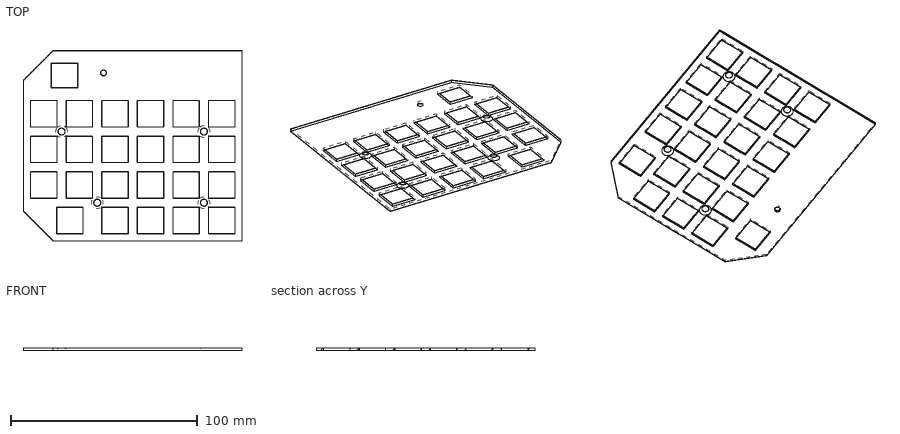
import cadquery as cq

plate_length = 117.25
plate_width = 102.0
plate_thickness = 1.5
corner_cut = 16.0

key_pitch = 19.05
key_opening = 14.0
columns = 6
rows = 4
bottom_row = 0
key_edge_margin = 11.0
wide_key_center_x = 24.98
columns_under_wide_key = 2

encoder_length = 14.0
encoder_width = 13.0
encoder_center = (22.05, 88.65)
indicator_diameter = 3.0
indicator_center = (43.0, 90.0)

mounting_diameter = 3.6
countersink_diameter = 6.3
countersink_depth = (countersink_diameter - mounting_diameter) / 2
mounting_positions = [(0.5, 2.5), (4.5, 2.5), (1.5, 0.5), (4.5, 0.5)]


def grid_point(column, row):
    """Plate coordinates of a whole or fractional key grid position."""
    return (key_edge_margin + column * key_pitch, key_edge_margin + row * key_pitch)


def make_plate():
    """Rectangular plate with both left corners cut at 45 degrees."""
    blank = cq.Workplane("XY").box(plate_length, plate_width, plate_thickness, centered=False)
    return blank.edges("|Z and <X").chamfer(corner_cut)


def key_centers():
    """Centres of all key openings, including the wide key."""
    _, bottom_row_y = grid_point(0, bottom_row)
    centers = [(wide_key_center_x, bottom_row_y)]
    for row in range(rows):
        first_column = columns_under_wide_key if row == bottom_row else 0
        for column in range(first_column, columns):
            centers.append(grid_point(column, row))
    return centers


def rectangular_cutters(centers, length, width):
    """Through cutters for rectangular openings."""
    return cq.Workplane("XY").pushPoints(centers).rect(length, width).extrude(plate_thickness)


def round_cutters(centers, diameter):
    """Through cutters for round holes."""
    return cq.Workplane("XY").pushPoints(centers).circle(diameter / 2).extrude(plate_thickness)


def countersink_cutters(centers):
    """Cones that narrow upward from the underside to the hole diameter."""
    cone = cq.Solid.makeCone(countersink_diameter / 2, mounting_diameter / 2, countersink_depth)
    return cq.Workplane("XY").pushPoints(centers).eachpoint(cone)


mounting_centers = [grid_point(column, row) for column, row in mounting_positions]

result = (
    make_plate()
    .cut(rectangular_cutters(key_centers(), key_opening, key_opening))
    .cut(rectangular_cutters([encoder_center], encoder_length, encoder_width))
    .cut(round_cutters([indicator_center], indicator_diameter))
    .cut(round_cutters(mounting_centers, mounting_diameter))
    .cut(countersink_cutters(mounting_centers))
)